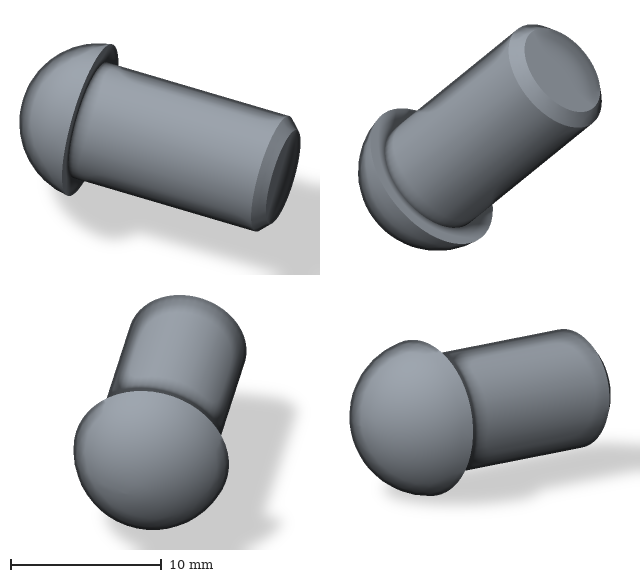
import cadquery as cq
import math

total_length = 18.4
head_height = 4.67
head_diameter = 10.5
shank_diameter = 8.0
tip_chamfer = 0.75

head_radius = head_diameter / 2
shank_radius = shank_diameter / 2

dome_radius = (head_radius**2 + head_height**2) / (2 * head_height)
half_height = head_height / 2
dome_mid_radius = math.sqrt(dome_radius**2 - (dome_radius - half_height) ** 2)

apex_x = -total_length / 2
tip_x = apex_x + total_length
shoulder_x = apex_x + head_height

profile = (
    cq.Workplane("XY")
    .moveTo(apex_x, 0)
    .threePointArc((apex_x + half_height, dome_mid_radius), (shoulder_x, head_radius))
    .lineTo(shoulder_x, shank_radius)
    .lineTo(tip_x - tip_chamfer, shank_radius)
    .lineTo(tip_x, shank_radius - tip_chamfer)
    .lineTo(tip_x, 0)
    .close()
)

result = profile.revolve(360, (0, 0, 0), (1, 0, 0))